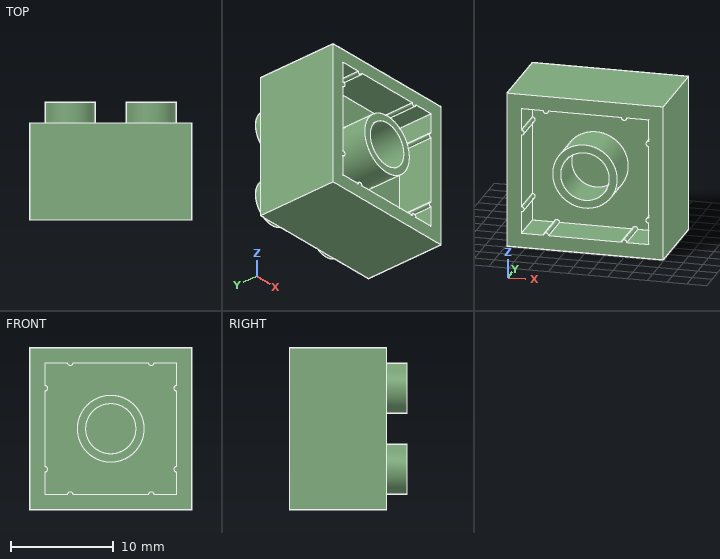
import cadquery as cq

side = 15.8
total_depth = 11.5
stud_height = 2.0
stud_diameter = 4.9
wall = 1.47
cavity_depth = 4.11
tube_outer_diameter = 6.51
tube_inner_diameter = stud_diameter
rib_radius = 0.27

body_depth = total_depth - stud_height
cavity_side = side - 2 * wall
stud_offset = side / 4
stud_places = [(x, z) for x in (-stud_offset, stud_offset) for z in (-stud_offset, stud_offset)]


def plane_at(y):
    """Plane facing +Y, with its axes along +X and -Z."""
    return cq.Workplane("XZ", origin=(0, y, 0)).transformed(rotate=(180, 0, 0))


def make_shell():
    """Square block hollowed from its open face."""
    block = plane_at(0).rect(side, side).extrude(body_depth)
    cavity = plane_at(0).rect(cavity_side, cavity_side).extrude(cavity_depth)
    return block.cut(cavity)


def make_studs():
    """Four round studs on the closed face."""
    return plane_at(body_depth).pushPoints(stud_places).circle(stud_diameter / 2).extrude(stud_height)


def make_tube():
    """Central tube from the open face to the cavity floor."""
    return (
        plane_at(0)
        .circle(tube_outer_diameter / 2)
        .circle(tube_inner_diameter / 2)
        .extrude(cavity_depth)
    )


def make_ribs():
    """Half-round grip ribs along the cavity walls, in line with the studs."""
    wall_face = cavity_side / 2
    places = []
    for along in (-stud_offset, stud_offset):
        for face in (-wall_face, wall_face):
            places.append((along, face))
            places.append((face, along))
    return plane_at(0).pushPoints(places).circle(rib_radius).extrude(cavity_depth)


result = make_shell().union(make_studs()).union(make_tube()).union(make_ribs())